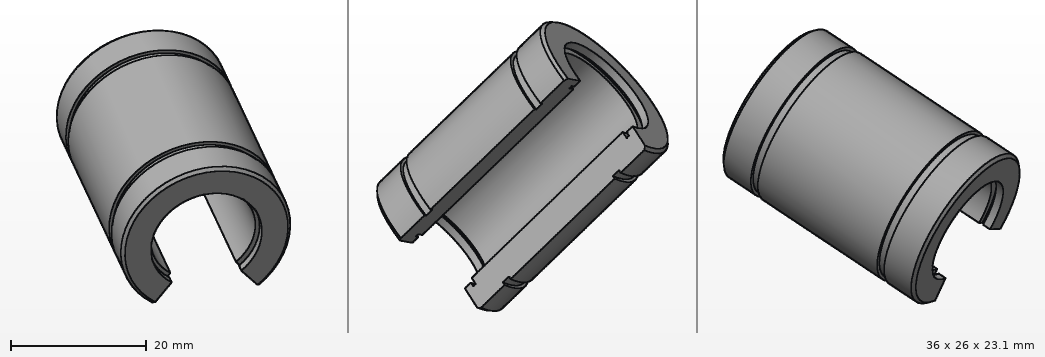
import cadquery as cq
import math

length = 36.0
outer_diameter = 26.0
bore_diameter = 16.0
edge_chamfer = 0.5

ring_groove_span = 24.9
ring_groove_width = 1.3
ring_groove_diameter = 24.9

mouth_diameter = 17.0
mouth_depth = 1.3
undercut_diameter = 18.5
undercut_width = 0.5

opening_angle = 77.6

half_length = length / 2


def cylinder(diameter, start_x, span):
    """Solid cylinder along X, starting at start_x."""
    return cq.Workplane("YZ", origin=(start_x, 0, 0)).circle(diameter / 2).extrude(span)


def make_sleeve():
    """Tube with both outer end edges chamfered."""
    body = cylinder(outer_diameter, -half_length, length).edges("%CIRCLE").chamfer(edge_chamfer)
    return body.cut(cylinder(bore_diameter, -half_length, length))


def make_ring_groove(start_x):
    """Ring of material removed for one retaining ring groove."""
    outer = cylinder(outer_diameter, start_x, ring_groove_width)
    return outer.cut(cylinder(ring_groove_diameter, start_x, ring_groove_width))


def make_bore_end():
    """Mouth and undercut at the -X end of the bore."""
    mouth = cylinder(mouth_diameter, -half_length, mouth_depth)
    undercut = cylinder(undercut_diameter, -half_length + mouth_depth, undercut_width)
    return mouth.union(undercut)


def make_opening():
    """Wedge with its apex on the axis, reaching below the outer surface."""
    wedge_depth = outer_diameter
    wedge_half_width = wedge_depth * math.tan(math.radians(opening_angle / 2))
    corners = [(0, 0), (-wedge_half_width, -wedge_depth), (wedge_half_width, -wedge_depth)]
    return cq.Workplane("YZ", origin=(-half_length, 0, 0)).polyline(corners).close().extrude(length)


result = make_sleeve()

for groove_start in (-ring_groove_span / 2, ring_groove_span / 2 - ring_groove_width):
    result = result.cut(make_ring_groove(groove_start))

bore_end = make_bore_end()
result = result.cut(bore_end).cut(bore_end.mirror("YZ"))

result = result.cut(make_opening())